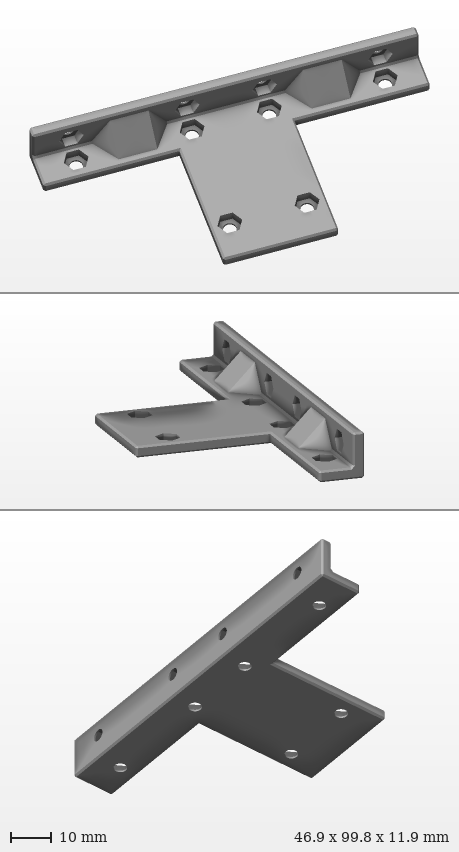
import cadquery as cq
import math

length = 99.8
width = 46.9
height = 11.9
thickness = 3.0
base_width = height
tab_length = 29.7
edge_break = 0.5

hole_diameter = 3.4
hole_offset = 6.9
tab_hole_spacing = 29.9
inner_hole_y = 10.0
outer_hole_y = 39.9
nut_corner_diameter = 6.4
nut_depth = 2.5

gusset_y = 24.95
gusset_leg = 7.0
gusset_root_length = 20.0
gusset_ridge_length = 10.0

row_y = [-outer_hole_y, -inner_hole_y, inner_hole_y, outer_hole_y]


def is_tab_corner(edge):
    """True for the two vertical edges where the tab meets the base strip."""
    center = edge.Center()
    distance = math.hypot(center.x - base_width, abs(center.y) - tab_length / 2)
    return distance < edge_break


def make_bracket():
    """L-shaped strip with a central tab; every edge but the tab corners is chamfered."""
    centered = (False, True, False)
    strip = cq.Workplane("XY").box(base_width, length, thickness, centered=centered)
    wall = cq.Workplane("XY").box(thickness, length, height, centered=centered)
    tab = cq.Workplane("XY").box(width, tab_length, thickness, centered=centered)
    body = strip.union(wall).union(tab).clean()
    chamfered_edges = [edge for edge in body.edges().vals() if not is_tab_corner(edge)]
    return body.newObject(chamfered_edges).chamfer(edge_break)


def make_gusset(y):
    """45 degree gusset whose sloped ends widen towards the inner corner."""
    wedge = (
        cq.Workplane("XZ", origin=(thickness, y + gusset_root_length / 2, thickness))
        .polyline([(0, 0), (gusset_leg, 0), (0, gusset_leg)])
        .close()
        .extrude(gusset_root_length)
    )
    taper_plane = cq.Plane(origin=(thickness, y, thickness), xDir=(0, 1, 0), normal=(1, 0, -1))
    slope_distance = gusset_leg / math.sqrt(2)
    taper = (
        cq.Workplane(taper_plane)
        .polyline([
            (-gusset_root_length / 2, 0),
            (gusset_root_length / 2, 0),
            (gusset_ridge_length / 2, slope_distance),
            (-gusset_ridge_length / 2, slope_distance),
        ])
        .close()
        .extrude(gusset_leg, both=True)
    )
    return wedge.intersect(taper)


def make_nut_hole(x_dir, normal):
    """Cutter at the origin: a screw hole along the normal, with a nut pocket at its far end.

    Two corners of the hexagon lie along x_dir.
    """
    plane = cq.Plane(origin=(0, 0, 0), xDir=x_dir, normal=normal)
    hole = cq.Workplane(plane).circle(hole_diameter / 2).extrude(thickness)
    pocket = (
        cq.Workplane(plane)
        .workplane(offset=thickness - nut_depth)
        .polygon(6, nut_corner_diameter)
        .extrude(nut_depth)
    )
    return hole.union(pocket)


result = make_bracket()
for side in (-1, 1):
    result = result.union(make_gusset(side * gusset_y))

base_nut_hole = make_nut_hole(x_dir=(0, 1, 0), normal=(0, 0, 1))
base_points = [(hole_offset, y) for y in row_y]
base_points += [(hole_offset + tab_hole_spacing, y) for y in (-inner_hole_y, inner_hole_y)]
for x, y in base_points:
    result = result.cut(base_nut_hole.translate((x, y, 0)))

wall_nut_hole = make_nut_hole(x_dir=(0, 1, 0), normal=(1, 0, 0))
for y in row_y:
    result = result.cut(wall_nut_hole.translate((0, y, hole_offset)))